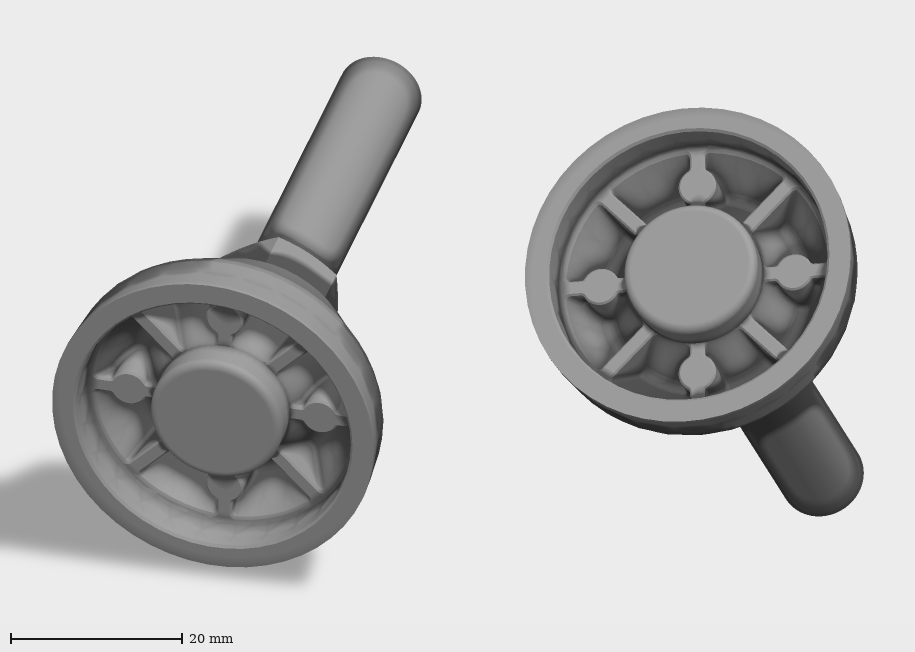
import cadquery as cq
import math

TOTAL_LENGTH = 74.65
TOLERANCE = 0.01

FOOT_RADIUS = 19.5
LIP_HEIGHT = 0.5
SHOULDER_RADIUS = 18.95
SHOULDER_HEIGHT = 6.6
SHOULDER_FILLET = 3.0
FOOT_TOP_RADIUS = 11.95
FOOT_TOP_FILLET = 3.0
FOOT_HEIGHT = 18.0

RIM_RADIUS = 16.95
RIM_CHAMFER = 0.3
BORE_RADIUS = 16.4
BORE_DEPTH = 5.0
BORE_FILLET = 0.5
TRENCH_OUTER_RADIUS = 15.8
TRENCH_MID_RADIUS = 11.9
TRENCH_ROUND = 1.0
TRENCH_TOP = 11.6
BOSS_RADIUS = 8.0
BOSS_BOTTOM = 1.0
BOSS_FILLET = 1.0

RIB_WIDTH = 1.8
RIB_COUNT = 8
PAD_COUNT = 4
PAD_RADIUS = 2.25
PAD_CIRCLE_RADIUS = 11.6
RIB_EDGE_CHAMFER = 0.2
RIB_ROOT_FILLET = 0.45

ROD_RADIUS = 5.0
ROD_CHAMFER = 1.0
ROD_START = 33.4
RELIEF_RADIUS = 4.0
RELIEF_TOP = 31.4
RELIEF_FILLET = 0.8
HEX_FLATS = 14.0
HEX_SIDES = 6
HEX_TOP = 29.55
HEX_TOP_CHAMFER_ANGLE = 30
HEX_BOTTOM_CHAMFER_ANGLE = 16
NECK_RADIUS = 6.0
NECK_TOP = 22.1
BALL_RADIUS = 7.0
BALL_CENTER = 16.05
SPIGOT_RADIUS = 3.1


def turned(outline):
    """Revolve a radius/height outline a full turn around the Y axis."""
    return outline.close().revolve(360, (0, 0, 0), (0, 1, 0))


def fillet_ring(body, height, radius):
    """Round the circular edge that is centred on the Y axis at a height."""
    return body.edges(cq.NearestToPointSelector((0, height, 0))).fillet(radius)


def disc(radius, bottom, top):
    """Cylinder on the Y axis between two heights."""
    return turned(
        cq.Workplane("XY").moveTo(0, bottom).lineTo(radius, bottom).lineTo(radius, top).lineTo(0, top)
    )


def ball_and_neck():
    """Ball with a spigot below it and the neck above it."""
    ball_bottom = BALL_CENTER - math.sqrt(BALL_RADIUS**2 - SPIGOT_RADIUS**2)
    ball_top = BALL_CENTER + math.sqrt(BALL_RADIUS**2 - NECK_RADIUS**2)
    return turned(
        cq.Workplane("XY")
        .moveTo(0, BOSS_BOTTOM)
        .lineTo(SPIGOT_RADIUS, BOSS_BOTTOM)
        .lineTo(SPIGOT_RADIUS, ball_bottom)
        .threePointArc((BALL_RADIUS, BALL_CENTER), (NECK_RADIUS, ball_top))
        .lineTo(NECK_RADIUS, NECK_TOP)
        .lineTo(0, NECK_TOP)
    )


def hexagon():
    """Hexagon with flats at +-X, its corners cut by a cone at each end."""
    corner_radius = HEX_FLATS / math.sqrt(3)
    corner_angles = [2 * math.pi * i / HEX_SIDES for i in range(HEX_SIDES)]
    corners = [(corner_radius * math.sin(a), corner_radius * math.cos(a)) for a in corner_angles]
    blank = (
        cq.Workplane("XZ", origin=(0, HEX_TOP, 0)).polyline(corners).close().extrude(HEX_TOP - NECK_TOP)
    )
    flat_radius = HEX_FLATS / 2
    top_drop = (corner_radius - flat_radius) * math.tan(math.radians(HEX_TOP_CHAMFER_ANGLE))
    bottom_rise = (corner_radius - NECK_RADIUS) * math.tan(math.radians(HEX_BOTTOM_CHAMFER_ANGLE))
    envelope = turned(
        cq.Workplane("XY")
        .moveTo(0, NECK_TOP)
        .lineTo(NECK_RADIUS, NECK_TOP)
        .lineTo(corner_radius, NECK_TOP + bottom_rise)
        .lineTo(corner_radius, HEX_TOP - top_drop)
        .lineTo(flat_radius, HEX_TOP)
        .lineTo(0, HEX_TOP)
    )
    return blank.intersect(envelope)


def rod():
    """Plain rod with a chamfered end and a filleted relief above the hexagon."""
    fillet_middle = RELIEF_FILLET * (1 - math.sqrt(0.5))
    return turned(
        cq.Workplane("XY")
        .moveTo(0, HEX_TOP)
        .lineTo(RELIEF_RADIUS + RELIEF_FILLET, HEX_TOP)
        .threePointArc(
            (RELIEF_RADIUS + fillet_middle, HEX_TOP + fillet_middle),
            (RELIEF_RADIUS, HEX_TOP + RELIEF_FILLET),
        )
        .lineTo(RELIEF_RADIUS, RELIEF_TOP)
        .lineTo(ROD_RADIUS, ROD_START)
        .lineTo(ROD_RADIUS, TOTAL_LENGTH - ROD_CHAMFER)
        .lineTo(ROD_RADIUS - ROD_CHAMFER, TOTAL_LENGTH)
        .lineTo(0, TOTAL_LENGTH)
    )


def make_stem():
    """Threaded-rod stem in one piece, from the spigot up to the rod end."""
    return ball_and_neck().union(hexagon()).union(rod())


def foot_blank():
    """Solid bell shape of the foot."""
    bell = turned(
        cq.Workplane("XY")
        .lineTo(FOOT_RADIUS, 0)
        .lineTo(FOOT_RADIUS, LIP_HEIGHT)
        .lineTo(SHOULDER_RADIUS, SHOULDER_HEIGHT)
        .lineTo(FOOT_TOP_RADIUS, FOOT_HEIGHT)
        .lineTo(0, FOOT_HEIGHT)
    )
    bell = fillet_ring(bell, SHOULDER_HEIGHT, SHOULDER_FILLET)
    return fillet_ring(bell, FOOT_HEIGHT, FOOT_TOP_FILLET)


def counterbore():
    """Ring-shaped recess in the underside, around and below the boss."""
    bore = turned(
        cq.Workplane("XY")
        .lineTo(RIM_RADIUS, 0)
        .lineTo(RIM_RADIUS - RIM_CHAMFER, RIM_CHAMFER)
        .lineTo(BORE_RADIUS, BORE_DEPTH)
        .lineTo(0, BORE_DEPTH)
    )
    bore = bore.faces(">Y").edges().fillet(BORE_FILLET)
    boss = disc(BOSS_RADIUS, BOSS_BOTTOM, BORE_DEPTH).faces("<Y").edges().fillet(BOSS_FILLET)
    return bore.cut(boss)


def trench():
    """V-shaped ring groove above the counterbore, rounded at its bottom."""
    ring = turned(
        cq.Workplane("XY")
        .moveTo(BOSS_RADIUS, BORE_DEPTH)
        .lineTo(TRENCH_OUTER_RADIUS, BORE_DEPTH)
        .lineTo(TRENCH_MID_RADIUS, TRENCH_TOP)
    )
    return fillet_ring(ring, TRENCH_TOP, TRENCH_ROUND)


def ribs():
    """Radial ribs that bridge the trench, with a round pad on every second one."""
    height = FOOT_HEIGHT - BORE_DEPTH
    plane = cq.Workplane("XZ", origin=(0, BORE_DEPTH, 0))
    bars = [
        plane.transformed(rotate=(0, 0, i * 360 / RIB_COUNT)).rect(2 * BORE_RADIUS, RIB_WIDTH).extrude(-height)
        for i in range(RIB_COUNT // 2)
    ]
    bridges = plane.polarArray(PAD_CIRCLE_RADIUS, 0, 360, PAD_COUNT).circle(PAD_RADIUS).extrude(-height)
    for bar in bars:
        bridges = bridges.union(bar)
    return bridges


def between_ribs(edge):
    """True for a pocket edge that is not part of the pocket mouth."""
    return edge.BoundingBox().ymax > BORE_DEPTH + TOLERANCE


def on_rib_outline(edge):
    """True for an edge in the rib faces, apart from the rings around the Y axis."""
    box = edge.BoundingBox()
    level = abs(box.ymin - BORE_DEPTH) < TOLERANCE and abs(box.ymax - BORE_DEPTH) < TOLERANCE
    if edge.geomType() != "CIRCLE":
        return level
    center = edge.arcCenter()
    return level and math.hypot(center.x, center.z) > TOLERANCE


def make_foot(stem):
    """Hollow foot with its ribs, recessed to take the ball and spigot of the stem."""
    foot = foot_blank().cut(counterbore())
    for pocket in trench().cut(ribs()).solids().vals():
        rounded = pocket.fillet(RIB_ROOT_FILLET, [edge for edge in pocket.Edges() if between_ribs(edge)])
        foot = foot.cut(cq.Workplane(rounded))
    solid = foot.solids().val()
    outline = [edge for edge in solid.Edges() if on_rib_outline(edge)]
    return cq.Workplane(solid.chamfer(RIB_EDGE_CHAMFER, None, outline)).cut(stem)


stem = make_stem()
foot = make_foot(stem)

result = cq.Compound.makeCompound([foot.val(), stem.val()])